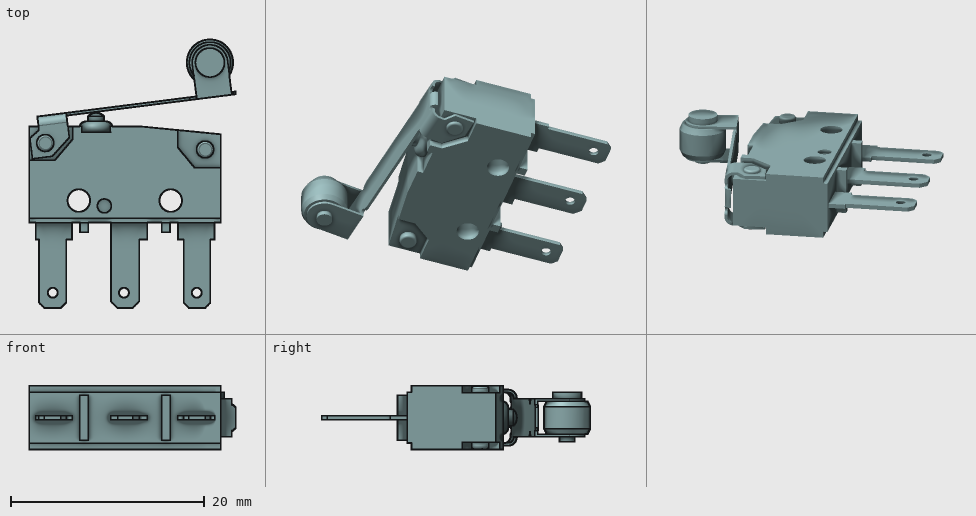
import cadquery as cq
import math


OVERALL_LENGTH = 27.75

HOUSING_LENGTH = 19.8
HOUSING_HEIGHT = 9.93
HOUSING_THICKNESS = 6.6
SLOPE_START = 11.57
SLOPE_END_HEIGHT = 9.13
STEP_HEIGHT = 0.45
STEP_HALF_THICKNESS = 2.65
MOUNT_HOLE_DIAMETER = 2.3
MOUNT_HOLE_HEIGHT = 2.28
MOUNT_HOLE_X = (5.13, 14.62)
BLIND_HOLE_DIAMETER = 1.45
BLIND_HOLE_DEPTH = 0.4
BLIND_HOLE_CENTER = (7.77, 1.72)
RIB_WIDTH = 0.9
RIB_HEIGHT = 1.0
RIB_HALF_LENGTH = 2.33
RIB_X = (5.7, 14.12)

RECESS_FLOOR = 2.55
LEFT_RECESS_LENGTH = 4.5
LEFT_RECESS_BOTTOM = 6.45
LEFT_RECESS_CUT = (1.83, 2.16)
RIGHT_RECESS_LENGTH = 4.47
RIGHT_RECESS_BOTTOM = 5.7
RIGHT_RECESS_CUT = (1.72, 2.08)
PEG_DIAMETER = 1.75
PEG_TOP = 3.25
PEG_FILLET = 0.22
LEFT_PEG_CENTER = (1.66, 8.21)
RIGHT_PEG_CENTER = (18.18, 7.55)

PLUNGER_X = 6.9
BOOT_SLOT_WIDTH = 2.95
BOOT_SEAT_DEPTH = 0.6
BOOT_SEAT_DIAMETER = 3.55
BOOT_BASE_DIAMETER = 3.33
BOOT_SHOULDER = (1.55, 10.2)
BOOT_TOP = 10.45
STEM_DIAMETER = 1.7
STEM_TOP = 10.95
DOME_TOP = 11.35

TERMINAL_THICKNESS = 0.45
TERMINAL_LENGTH = 8.82
SHOULDER_LENGTH = 1.75
SHOULDER_WIDTH = 3.77
TERMINAL_HOLE_DIAMETER = 1.0
TERMINAL_HOLE_Y = -7.25
TERMINALS = (
    (0.67, 1.0, 2.85, 0.58, 2.45),
    (8.44, 8.44, 2.95, 0.7, 9.8),
    (15.37, 15.95, 2.78, 0.55, 17.32),
)

LEVER_ANGLE = 7.2
LEVER_START = (0.83, 10.95)
LEVER_THICKNESS = 0.3
STRIP_HALF_WIDTH = 1.97
EAR_THICKNESS = 0.28
EAR_RADIUS = 1.83
EAR_X = 18.4
TIP_LENGTH = 0.42
TIP_HALF_WIDTH = 1.33
TIP_CHAMFER = 0.28
EAR_RELIEF_TAPER = 0.58
EAR_RELIEF_DEPTH = 0.53
RELIEF_DIAMETER = 0.7
ARM_WIDTH = 3.02
ARM_OUTER_Z = 2.9
ARM_END = 4.27
ARM_SIDE_END = 2.58
ARM_TOE = 1.03
ARM_TOE_START = 1.42
ARM_TOE_CORNER = 2.15
GUSSET_LENGTH = 0.42
GUSSET_WIDTH = 0.05
TONGUE_HALF_WIDTH = 1.0
TONGUE_RADIUS = 0.67

ROLLER_DIAMETER = 4.8
ROLLER_FACE_DIAMETER = 4.25
ROLLER_RIM_HALF_WIDTH = 1.15
PIN_DIAMETER = 1.6
PIN_HEAD_DIAMETER = 3.0
PIN_HEAD_TOP = 2.65
PIN_TAIL_END = -2.5

HALF_THICKNESS = HOUSING_THICKNESS / 2
ROLLER_HALF_WIDTH = STRIP_HALF_WIDTH - EAR_THICKNESS
BEND_RADIUS = ARM_OUTER_Z - STRIP_HALF_WIDTH
ARM_INNER_Z = ARM_OUTER_Z - LEVER_THICKNESS
EAR_START = EAR_X - EAR_RADIUS
EAR_END = EAR_X + EAR_RADIUS
SIN = math.sin(math.radians(LEVER_ANGLE))
COS = math.cos(math.radians(LEVER_ANGLE))
ROLLER_Y = OVERALL_LENGTH - TERMINAL_LENGTH - ROLLER_DIAMETER / 2
ROLLER_AXIS_HEIGHT = (ROLLER_Y - LEVER_START[1] - EAR_X * SIN) / COS
ROLLER_CENTER = (LEVER_START[0] + EAR_X * COS - ROLLER_AXIS_HEIGHT * SIN, ROLLER_Y)


def slab(z_from, z_to):
    """Workplane at z_from and the extrusion distance that reaches z_to."""
    return cq.Workplane("XY").workplane(offset=z_from), z_to - z_from


def prism(points, z_from, z_to):
    plane, depth = slab(z_from, z_to)
    return plane.polyline(points).close().extrude(depth)


def cylinder(center, diameter, z_from, z_to):
    plane, depth = slab(z_from, z_to)
    return plane.center(*center).circle(diameter / 2).extrude(depth)


def on_both_faces(body):
    """The body together with its mirror image about mid thickness."""
    return body.union(body.mirror("XY"))


def recess(length, bottom, cut, at_right_end):
    """Corner recess, open to the end and the upper side, with its inner lower corner cut off."""
    cut_x, cut_y = cut
    outline = [
        (0, HOUSING_HEIGHT),
        (length, HOUSING_HEIGHT),
        (length, bottom + cut_y),
        (length - cut_x, bottom),
        (0, bottom),
    ]
    if at_right_end:
        outline = [(HOUSING_LENGTH - x, y) for x, y in outline]
    return on_both_faces(prism(outline, RECESS_FLOOR, HALF_THICKNESS))


def peg(center):
    shape = cylinder(center, PEG_DIAMETER, RECESS_FLOOR, PEG_TOP)
    return on_both_faces(shape.faces(">Z").edges().fillet(PEG_FILLET))


def make_housing():
    outline = [
        (0, 0),
        (HOUSING_LENGTH, 0),
        (HOUSING_LENGTH, SLOPE_END_HEIGHT),
        (SLOPE_START, HOUSING_HEIGHT),
        (0, HOUSING_HEIGHT),
    ]
    body = prism(outline, -HALF_THICKNESS, HALF_THICKNESS)

    step = [(0, 0), (HOUSING_LENGTH, 0), (HOUSING_LENGTH, STEP_HEIGHT), (0, STEP_HEIGHT)]
    body = body.cut(on_both_faces(prism(step, STEP_HALF_THICKNESS, HALF_THICKNESS)))

    body = body.cut(recess(LEFT_RECESS_LENGTH, LEFT_RECESS_BOTTOM, LEFT_RECESS_CUT, False))
    body = body.cut(recess(RIGHT_RECESS_LENGTH, RIGHT_RECESS_BOTTOM, RIGHT_RECESS_CUT, True))
    for center in (LEFT_PEG_CENTER, RIGHT_PEG_CENTER):
        body = body.union(peg(center))

    slot = cq.Workplane("XY").box(BOOT_SLOT_WIDTH, 2 * BOOT_SEAT_DEPTH, HOUSING_THICKNESS)
    body = body.cut(slot.translate((PLUNGER_X, HOUSING_HEIGHT, 0)))
    seat = cq.Workplane("XZ", origin=(PLUNGER_X, HOUSING_HEIGHT, 0)).circle(BOOT_SEAT_DIAMETER / 2)
    body = body.cut(seat.extrude(BOOT_SEAT_DEPTH))

    for x in MOUNT_HOLE_X:
        hole = cylinder((x, MOUNT_HOLE_HEIGHT), MOUNT_HOLE_DIAMETER, -HALF_THICKNESS, HALF_THICKNESS)
        body = body.cut(hole)
    floor = HALF_THICKNESS - BLIND_HOLE_DEPTH
    body = body.cut(cylinder(BLIND_HOLE_CENTER, BLIND_HOLE_DIAMETER, floor, HALF_THICKNESS))

    for x in RIB_X:
        rib = cq.Workplane("XY").box(RIB_WIDTH, RIB_HEIGHT, 2 * RIB_HALF_LENGTH)
        body = body.union(rib.translate((x, -RIB_HEIGHT / 2, 0)))
    return body


def make_plunger():
    """Turned about the Y axis: bulging boot, stem and domed end."""
    stem_radius = STEM_DIAMETER / 2
    boot_base = HOUSING_HEIGHT - BOOT_SEAT_DEPTH
    dome_rise = DOME_TOP - STEM_TOP
    dome_radius = (stem_radius ** 2 + dome_rise ** 2) / (2 * dome_rise)
    half_way = stem_radius / 2
    dome_middle = (half_way, DOME_TOP - dome_radius + math.sqrt(dome_radius ** 2 - half_way ** 2))
    profile = (
        cq.Workplane("XY")
        .moveTo(0, boot_base)
        .lineTo(BOOT_BASE_DIAMETER / 2, boot_base)
        .threePointArc(BOOT_SHOULDER, (stem_radius, BOOT_TOP))
        .lineTo(stem_radius, STEM_TOP)
        .threePointArc(dome_middle, (0, DOME_TOP))
        .close()
    )
    return profile.revolve(360, (0, 0, 0), (0, 1, 0)).translate((PLUNGER_X, 0, 0))


def make_terminal(shoulder_x, blade_x, blade_width, chamfer, hole_x):
    """Flat blade with a shoulder against the housing and a chamfered tip."""
    blade_end = blade_x + blade_width
    shoulder = [
        (shoulder_x, 0),
        (shoulder_x + SHOULDER_WIDTH, 0),
        (shoulder_x + SHOULDER_WIDTH, -SHOULDER_LENGTH),
        (shoulder_x, -SHOULDER_LENGTH),
    ]
    blade = [
        (blade_x, 0),
        (blade_end, 0),
        (blade_end, chamfer - TERMINAL_LENGTH),
        (blade_end - chamfer, -TERMINAL_LENGTH),
        (blade_x + chamfer, -TERMINAL_LENGTH),
        (blade_x, chamfer - TERMINAL_LENGTH),
    ]
    half = TERMINAL_THICKNESS / 2
    hole = cylinder((hole_x, TERMINAL_HOLE_Y), TERMINAL_HOLE_DIAMETER, -half, half)
    return prism(shoulder, -half, half).union(prism(blade, -half, half)).cut(hole)


def strip_plane():
    """Upper surface of the strip: sketch x along the strip, sketch y along Z, extrusion downwards."""
    return cq.Workplane(cq.Plane((0, 0, 0), xDir=(1, 0, 0), normal=(0, -1, 0)))


def lever_strip():
    """Flat strip from the tongue bend to the chamfered tip: one half and its mirror image."""
    tip_end = EAR_END + TIP_LENGTH
    half_outline = [
        (0, 0),
        (0, STRIP_HALF_WIDTH),
        (ARM_WIDTH, STRIP_HALF_WIDTH),
        (ARM_WIDTH, STRIP_HALF_WIDTH + GUSSET_WIDTH),
        (ARM_WIDTH + GUSSET_LENGTH, STRIP_HALF_WIDTH),
        (EAR_END, STRIP_HALF_WIDTH),
        (EAR_END, TIP_HALF_WIDTH),
        (tip_end - TIP_CHAMFER, TIP_HALF_WIDTH),
        (tip_end, TIP_HALF_WIDTH - TIP_CHAMFER),
        (tip_end, 0),
    ]
    half = strip_plane().polyline(half_outline).close().extrude(LEVER_THICKNESS)

    relief_radius = RELIEF_DIAMETER / 2
    relief_z = TONGUE_HALF_WIDTH + relief_radius
    relief_end = TONGUE_RADIUS - relief_radius
    half = half.cut(
        strip_plane()
        .moveTo(0, TONGUE_HALF_WIDTH)
        .lineTo(relief_end, TONGUE_HALF_WIDTH)
        .threePointArc((TONGUE_RADIUS, relief_z), (relief_end, TONGUE_HALF_WIDTH + RELIEF_DIAMETER))
        .lineTo(0, TONGUE_HALF_WIDTH + RELIEF_DIAMETER)
        .close()
        .extrude(LEVER_THICKNESS)
    )

    half = half.cut(strip_plane().rect(2 * TONGUE_RADIUS, 2 * TONGUE_HALF_WIDTH).extrude(LEVER_THICKNESS))

    round_start = EAR_START - RELIEF_DIAMETER
    relief_bottom = STRIP_HALF_WIDTH - EAR_RELIEF_DEPTH
    round_z = relief_bottom + relief_radius
    half = half.cut(
        strip_plane()
        .moveTo(round_start - EAR_RELIEF_TAPER, STRIP_HALF_WIDTH)
        .lineTo(round_start, round_z)
        .threePointArc((EAR_START - relief_radius, relief_bottom), (EAR_START, round_z))
        .lineTo(EAR_START, STRIP_HALF_WIDTH)
        .close()
        .extrude(LEVER_THICKNESS)
    )
    return on_both_faces(half)


def lever_tongue():
    """Quarter-round tongue bent down at the start of the strip."""
    inner = TONGUE_RADIUS - LEVER_THICKNESS
    plane, depth = slab(-TONGUE_HALF_WIDTH, TONGUE_HALF_WIDTH)
    return (
        plane.moveTo(TONGUE_RADIUS, 0)
        .radiusArc((0, -TONGUE_RADIUS), -TONGUE_RADIUS)
        .lineTo(LEVER_THICKNESS, -TONGUE_RADIUS)
        .radiusArc((TONGUE_RADIUS, -LEVER_THICKNESS), inner)
        .close()
        .extrude(depth)
    )


def lever_arm():
    """Side arm: a quarter bend off the strip's edge, then a flat plate beside the housing."""
    bend = (
        cq.Workplane("YZ")
        .moveTo(0, STRIP_HALF_WIDTH)
        .radiusArc((-BEND_RADIUS, ARM_OUTER_Z), -BEND_RADIUS)
        .lineTo(-BEND_RADIUS, ARM_INNER_Z)
        .radiusArc((-LEVER_THICKNESS, STRIP_HALF_WIDTH), BEND_RADIUS - LEVER_THICKNESS)
        .close()
        .extrude(ARM_WIDTH)
    )
    outline = [
        (0, -BEND_RADIUS),
        (ARM_WIDTH, -BEND_RADIUS),
        (ARM_WIDTH, -ARM_SIDE_END),
        (ARM_TOE, -ARM_END),
        (-ARM_TOE, -ARM_END),
        (-ARM_TOE, -ARM_TOE_CORNER),
        (0, -ARM_TOE_START),
    ]
    return bend.union(prism(outline, ARM_INNER_Z, ARM_OUTER_Z))


def lever_ear():
    """Upright ear with a round end about the roller axis."""
    plane, depth = slab(ROLLER_HALF_WIDTH, STRIP_HALF_WIDTH)
    return (
        plane.moveTo(EAR_START, -LEVER_THICKNESS)
        .lineTo(EAR_END, -LEVER_THICKNESS)
        .lineTo(EAR_END, ROLLER_AXIS_HEIGHT)
        .threePointArc((EAR_X, ROLLER_AXIS_HEIGHT + EAR_RADIUS), (EAR_START, ROLLER_AXIS_HEIGHT))
        .close()
        .extrude(depth)
    )


def make_lever():
    body = lever_strip().union(lever_tongue())
    body = body.union(on_both_faces(lever_arm()))
    body = body.union(on_both_faces(lever_ear()))
    body = body.rotate((0, 0, 0), (0, 0, 1), LEVER_ANGLE).translate((*LEVER_START, 0))
    body = body.cut(cylinder(LEFT_PEG_CENTER, PEG_DIAMETER, -ARM_OUTER_Z, ARM_OUTER_Z))
    return body.cut(cylinder(ROLLER_CENTER, PIN_DIAMETER, -STRIP_HALF_WIDTH, STRIP_HALF_WIDTH))


def make_roller():
    """Roller with beveled rims and a bore for the pin."""
    body = cylinder(ROLLER_CENTER, ROLLER_DIAMETER, -ROLLER_HALF_WIDTH, ROLLER_HALF_WIDTH)
    bevel_width = ROLLER_HALF_WIDTH - ROLLER_RIM_HALF_WIDTH
    bevel_depth = (ROLLER_DIAMETER - ROLLER_FACE_DIAMETER) / 2
    for face in (">Z", "<Z"):
        body = body.faces(face).chamfer(bevel_width, bevel_depth)
    return body.cut(cylinder(ROLLER_CENTER, PIN_DIAMETER, -ROLLER_HALF_WIDTH, ROLLER_HALF_WIDTH))


def make_pin():
    shank = cylinder(ROLLER_CENTER, PIN_DIAMETER, PIN_TAIL_END, PIN_HEAD_TOP)
    head = cylinder(ROLLER_CENTER, PIN_HEAD_DIAMETER, STRIP_HALF_WIDTH, PIN_HEAD_TOP)
    return shank.union(head)


housing = make_housing()
plunger = make_plunger()
terminals = [make_terminal(*sizes) for sizes in TERMINALS]
lever = make_lever()
roller = make_roller()
pin = make_pin()

bodies = [housing, plunger, *terminals, lever, roller, pin]

result = cq.Compound.makeCompound([body.solids().val() for body in bodies])